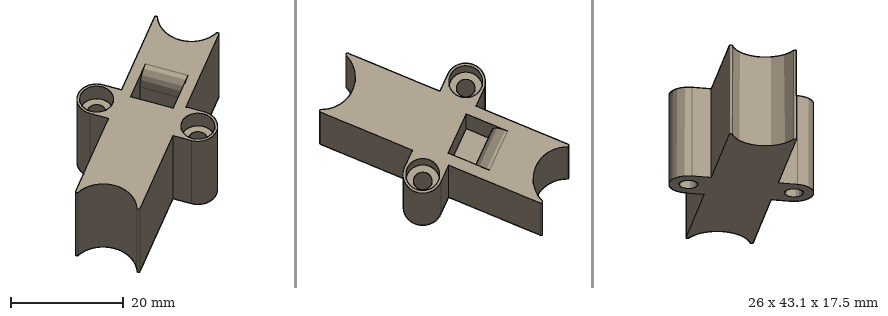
import cadquery as cq
import math

height = 17.5
body_width = 12.1
body_length = 43.1

saddle_radius = 6.0
tip_radius = 0.28

lug_radius = 3.5
lug_spacing = 19.0
screw_hole_diameter = 3.3
counterbore_diameter = 6.0
counterbore_depth = 3.5

pocket_size = 8.0
pocket_depth = 8.0
pocket_front_y = 2.5
entry_radius = 3.0


def make_body():
    """Bar with a saddle at each end; each saddle runs out into two thin, round-nosed tips."""
    side_x = body_width / 2
    end_y = body_length / 2
    nose_y = end_y - tip_radius
    nose_x = side_x - tip_radius
    center_distance = saddle_radius + tip_radius
    saddle_center_y = nose_y + math.sqrt(center_distance**2 - nose_x**2)
    saddle_bottom_y = saddle_center_y - saddle_radius
    saddle_edge_x = nose_x * saddle_radius / center_distance
    saddle_edge_y = saddle_center_y - (saddle_center_y - nose_y) * saddle_radius / center_distance
    return (
        cq.Workplane("XY")
        .moveTo(side_x, -nose_y)
        .lineTo(side_x, nose_y)
        .threePointArc((nose_x, end_y), (saddle_edge_x, saddle_edge_y))
        .threePointArc((0, saddle_bottom_y), (-saddle_edge_x, saddle_edge_y))
        .threePointArc((-nose_x, end_y), (-side_x, nose_y))
        .lineTo(-side_x, -nose_y)
        .threePointArc((-nose_x, -end_y), (-saddle_edge_x, -saddle_edge_y))
        .threePointArc((0, -saddle_bottom_y), (saddle_edge_x, -saddle_edge_y))
        .threePointArc((nose_x, -end_y), (side_x, -nose_y))
        .close()
        .extrude(height)
    )


def make_lugs():
    """Full-height bar with round ends that carries both screw holes."""
    return cq.Workplane("XY").slot2D(lug_spacing + 2 * lug_radius, 2 * lug_radius).extrude(height)


def drill_screw_holes(part):
    """Counterbored through holes, entered from the top."""
    return (
        part.faces(">Z")
        .workplane(origin=(0, 0, height))
        .pushPoints([(-lug_spacing / 2, 0), (lug_spacing / 2, 0)])
        .cboreHole(screw_hole_diameter, counterbore_diameter, counterbore_depth)
    )


def make_pocket():
    """Blind pocket whose back wall rolls over into the top face as a quarter round."""
    back_y = pocket_front_y + pocket_size
    wall_y = back_y - entry_radius
    floor_z = height - pocket_depth
    arc_offset = entry_radius * math.sqrt(0.5)
    arc_middle = (back_y - arc_offset, height - entry_radius + arc_offset)
    return (
        cq.Workplane("YZ")
        .moveTo(pocket_front_y, height)
        .lineTo(pocket_front_y, floor_z)
        .lineTo(wall_y, floor_z)
        .lineTo(wall_y, height - entry_radius)
        .threePointArc(arc_middle, (back_y, height))
        .close()
        .extrude(pocket_size / 2, both=True)
    )


result = drill_screw_holes(make_body().union(make_lugs())).cut(make_pocket())